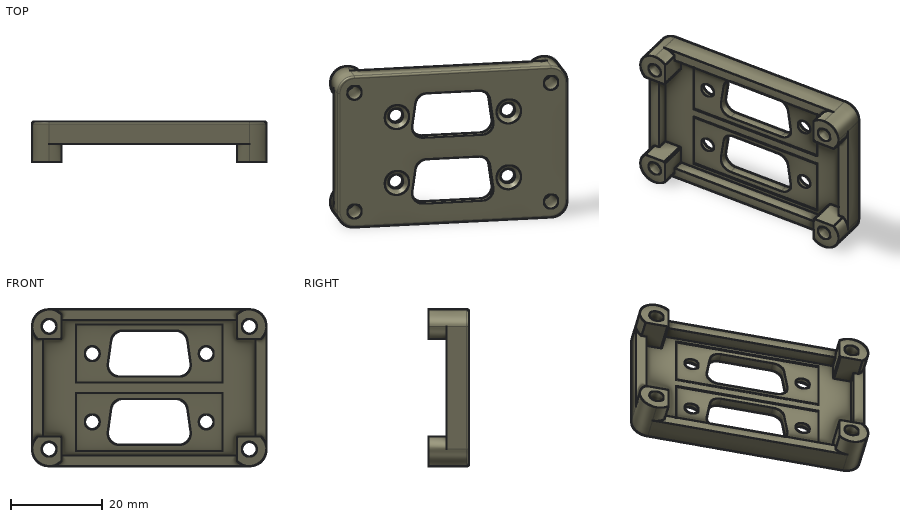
import cadquery as cq
import math

WIDTH = 51.5
HEIGHT = 34.5
DEPTH = 8.9
CORNER_RADIUS = 3.75
BACK_EDGE_FILLET = 0.5

RIM_DEPTH = 5.0
RIM_THICKNESS = 2.4
FLOOR_THICKNESS = 2.4

POST_REACH_X = 2.75
POST_REACH_Z = 2.85
POST_HOLE_DIAMETER = 3.2

CONNECTOR_SPACING = 15.0
RECESS_WIDTH = 32.1
RECESS_HEIGHT = 12.75
RECESS_DEPTH = 0.25
WINDOW_HEIGHT = 10.05
WINDOW_MEAN_WIDTH = 17.5
WINDOW_SIDE_ANGLE = 8.0
WINDOW_CORNER_RADIUS = 2.5
SCREW_SPACING = 25.05
SCREW_HOLE_DIAMETER = 3.2
COUNTERSINK_DIAMETER = 5.45
COUNTERSINK_ANGLE = 90.0

BACK_Y = DEPTH / 2
RIM_FRONT_Y = BACK_Y - RIM_DEPTH
FLOOR_FRONT_Y = BACK_Y - FLOOR_THICKNESS
POST_X = WIDTH / 2 - CORNER_RADIUS
POST_Z = HEIGHT / 2 - CORNER_RADIUS


def plane_at(y):
    """Sketch plane parallel to XZ at the given y; extrusions run towards -Y."""
    return cq.Workplane("XZ", origin=(0, y, 0))


def make_block():
    """Full-depth block with rounded corners and a rounded back edge."""
    block = plane_at(BACK_Y).rect(WIDTH, HEIGHT).extrude(DEPTH)
    block = block.edges("|Y").fillet(CORNER_RADIUS)
    return block.faces(">Y").edges().fillet(BACK_EDGE_FILLET)


def make_clearance():
    """Space in front of the floor and rim, before the posts are left standing in it."""
    cavity = (
        plane_at(FLOOR_FRONT_Y)
        .rect(WIDTH - 2 * RIM_THICKNESS, HEIGHT - 2 * RIM_THICKNESS)
        .extrude(RIM_DEPTH - FLOOR_THICKNESS)
    )
    front = plane_at(RIM_FRONT_Y).rect(WIDTH, HEIGHT).extrude(DEPTH - RIM_DEPTH)
    return cavity.union(front)


def make_post_space(side_x, side_z):
    """Space kept for one post: round, flat towards the middle, square out to the corner of the block."""
    length = DEPTH - FLOOR_THICKNESS
    post_plane = plane_at(FLOOR_FRONT_Y).center(side_x * POST_X, side_z * POST_Z)
    cylinder = post_plane.circle(CORNER_RADIUS).extrude(length)
    corner = (
        post_plane.center(side_x * CORNER_RADIUS / 2, side_z * CORNER_RADIUS / 2)
        .rect(CORNER_RADIUS, CORNER_RADIUS)
        .extrude(length)
    )
    flats = (
        plane_at(FLOOR_FRONT_Y)
        .center(
            side_x * (POST_X + (CORNER_RADIUS - POST_REACH_X) / 2),
            side_z * (POST_Z + (CORNER_RADIUS - POST_REACH_Z) / 2),
        )
        .rect(CORNER_RADIUS + POST_REACH_X, CORNER_RADIUS + POST_REACH_Z)
        .extrude(length)
    )
    return cylinder.union(corner).intersect(flats)


def make_post_holes():
    return (
        plane_at(BACK_Y)
        .rect(2 * POST_X, 2 * POST_Z, forConstruction=True)
        .vertices()
        .circle(POST_HOLE_DIAMETER / 2)
        .extrude(DEPTH)
    )


def make_screw_hole(center_x, center_z):
    """Hole through the floor, countersunk from the back face."""
    hole = plane_at(BACK_Y).center(center_x, center_z).circle(SCREW_HOLE_DIAMETER / 2).extrude(FLOOR_THICKNESS)
    sink_step = (COUNTERSINK_DIAMETER - SCREW_HOLE_DIAMETER) / 2
    sink_depth = sink_step / math.tan(math.radians(COUNTERSINK_ANGLE / 2))
    countersink = (
        plane_at(BACK_Y)
        .center(center_x, center_z)
        .circle(COUNTERSINK_DIAMETER / 2)
        .extrude(sink_depth, taper=COUNTERSINK_ANGLE / 2)
    )
    return hole.union(countersink)


def make_connector_cutout(center_z):
    """Shallow recess, D-shaped window that widens downwards, and two screw holes."""
    recess = (
        plane_at(FLOOR_FRONT_Y + RECESS_DEPTH)
        .center(0, center_z)
        .rect(RECESS_WIDTH, RECESS_HEIGHT)
        .extrude(RECESS_DEPTH)
    )

    half_height = WINDOW_HEIGHT / 2
    side_shift = half_height * math.tan(math.radians(WINDOW_SIDE_ANGLE))
    half_bottom = WINDOW_MEAN_WIDTH / 2 + side_shift
    half_top = WINDOW_MEAN_WIDTH / 2 - side_shift
    window = (
        plane_at(BACK_Y)
        .center(0, center_z)
        .polyline(
            [
                (-half_bottom, -half_height),
                (half_bottom, -half_height),
                (half_top, half_height),
                (-half_top, half_height),
            ]
        )
        .close()
        .extrude(FLOOR_THICKNESS)
        .edges("|Y")
        .fillet(WINDOW_CORNER_RADIUS)
    )

    cutout = recess.union(window)
    for side_x in (-1, 1):
        cutout = cutout.union(make_screw_hole(side_x * SCREW_SPACING / 2, center_z))
    return cutout


clearance = make_clearance()
for side_x in (-1, 1):
    for side_z in (-1, 1):
        clearance = clearance.cut(make_post_space(side_x, side_z))

result = make_block().cut(clearance).cut(make_post_holes())
for side in (-1, 1):
    result = result.cut(make_connector_cutout(side * CONNECTOR_SPACING / 2))